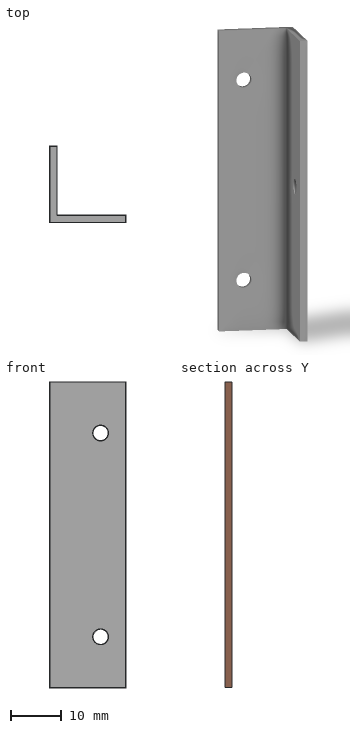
import cadquery as cq

length = 60.0
leg = 15.0
thickness = 1.5

hole_diameter = 3.0
hole_from_corner = 10.0
hole_from_end = 10.0


def angle_bar():
    """L-shaped bar with its outer corner on the Z axis."""
    profile = [
        (0, 0),
        (leg, 0),
        (leg, thickness),
        (thickness, thickness),
        (thickness, leg),
        (0, leg),
    ]
    return cq.Workplane("XY").polyline(profile).close().extrude(length)


def hole_through_x_leg(height):
    """Cutter along Y through the leg that runs along X."""
    start = cq.Vector(hole_from_corner, 0, height)
    return cq.Solid.makeCylinder(hole_diameter / 2, thickness, start, cq.Vector(0, 1, 0))


def hole_through_y_leg(height):
    """Cutter along X through the leg that runs along Y."""
    start = cq.Vector(0, hole_from_corner, height)
    return cq.Solid.makeCylinder(hole_diameter / 2, thickness, start, cq.Vector(1, 0, 0))


result = angle_bar()

for hole_height in (hole_from_end, length - hole_from_end):
    result = result.cut(hole_through_x_leg(hole_height))
result = result.cut(hole_through_y_leg(length / 2))